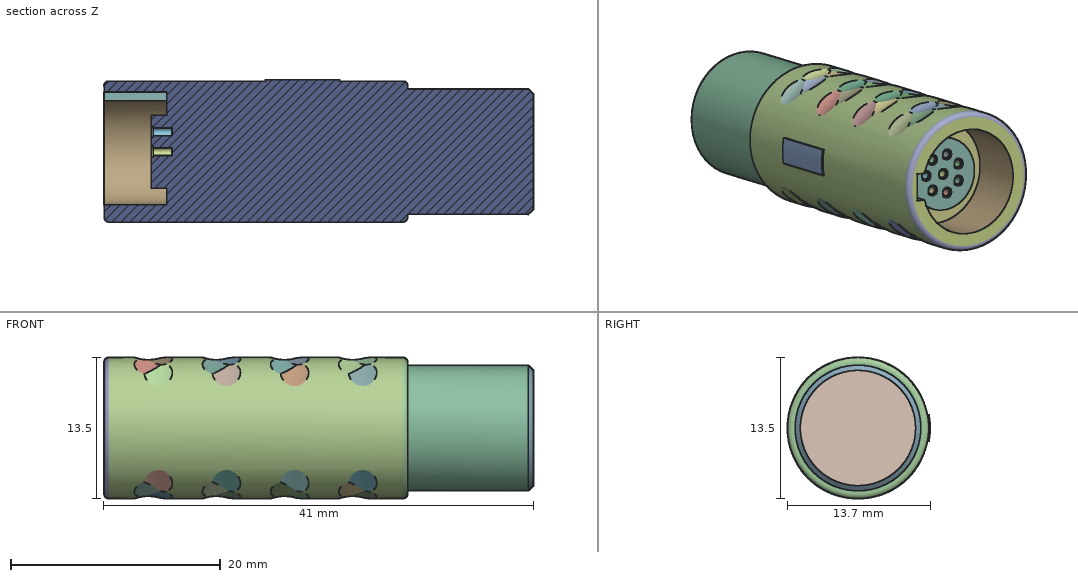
import cadquery as cq
import math

total_length = 41.0
grip_diameter = 13.5
grip_length = 29.0
grip_edge_radius = 0.5
tail_diameter = 12.0
tail_chamfer = 0.5

socket_diameter = 10.1
socket_depth = 6.0
keyway_width = 2.6
keyway_reach = 5.7

insert_diameter = 7.0
insert_height = 1.5
contact_circle_radius = 1.9
outer_contact_count = 7
contact_counterbore_diameter = 1.0
contact_counterbore_depth = 0.2
contact_bore_diameter = 0.7
contact_bore_depth = 2.0

dimple_half_width = 1.34
dimple_half_angle = 15.0
dimples_per_turn = 28
dimples_per_band = 7
band_count = 4
band_pitch = 6.5
first_band_x = 4.72
dimple_stagger = 0.95

pad_start = 15.4
pad_end = 22.5
pad_width = 2.5
pad_height = 0.15

grip_radius = grip_diameter / 2


def cylinder_x(start, length, diameter):
    """Cylinder along X on the part axis."""
    return cq.Workplane("YZ", origin=(start, 0, 0)).circle(diameter / 2).extrude(length)


def make_body():
    grip = cylinder_x(0, grip_length, grip_diameter).edges().fillet(grip_edge_radius)
    tail = cylinder_x(0, total_length, tail_diameter).faces(">X").edges().chamfer(tail_chamfer)
    return grip.union(tail)


def make_pad():
    sleeve = cylinder_x(pad_start, pad_end - pad_start, grip_diameter + 2 * pad_height)
    window = cq.Workplane("XY").box(
        total_length, grip_diameter, pad_width, centered=(False, False, True)
    )
    return sleeve.intersect(window)


def make_socket():
    bore = cylinder_x(0, socket_depth, socket_diameter)
    keyway = cq.Workplane("XY").box(
        socket_depth, keyway_reach, keyway_width, centered=(False, False, True)
    )
    return bore.union(keyway)


def contact_positions():
    step = 2 * math.pi / outer_contact_count
    ring = [
        (contact_circle_radius * math.cos(i * step), contact_circle_radius * math.sin(i * step))
        for i in range(outer_contact_count)
    ]
    return [(0, 0)] + ring


def make_insert():
    return cylinder_x(socket_depth - insert_height, insert_height, insert_diameter)


def make_contact_holes():
    """Counterbored contact holes in the insert face."""
    insert_face_x = socket_depth - insert_height
    face = cq.Workplane("YZ", origin=(insert_face_x, 0, 0)).pushPoints(contact_positions())
    bores = face.circle(contact_bore_diameter / 2).extrude(contact_bore_depth)
    counterbores = face.circle(contact_counterbore_diameter / 2).extrude(contact_counterbore_depth)
    return bores.union(counterbores)


def make_dimple_cutters():
    """Cylinders lying tangent-wise above the top line of the grip, fanned around X."""
    depth = grip_radius * (1 - math.cos(math.radians(dimple_half_angle)))
    scoop_radius = (dimple_half_width**2 + depth**2) / (2 * depth)
    scoop_axis_height = grip_radius - depth + scoop_radius
    step = 360 / dimples_per_turn
    scoop = (
        cq.Workplane("XZ")
        .center(0, scoop_axis_height)
        .circle(scoop_radius)
        .extrude(grip_radius, both=True)
    )
    cutters = []
    for band in range(band_count):
        band_x = first_band_x + band * band_pitch
        for index in range(dimples_per_band):
            side = 1 if index % 2 == 0 else -1
            top_angle = (index - (dimples_per_band - 1) / 2) * step
            for angle in (top_angle, top_angle + 180):
                turned = scoop.rotate((0, 0, 0), (1, 0, 0), angle)
                cutters.append(turned.translate((band_x + side * dimple_stagger / 2, 0, 0)))
    return cutters


result = make_body().union(make_pad()).cut(make_socket())
result = result.union(make_insert()).cut(make_contact_holes())
for cutter in make_dimple_cutters():
    result = result.cut(cutter)